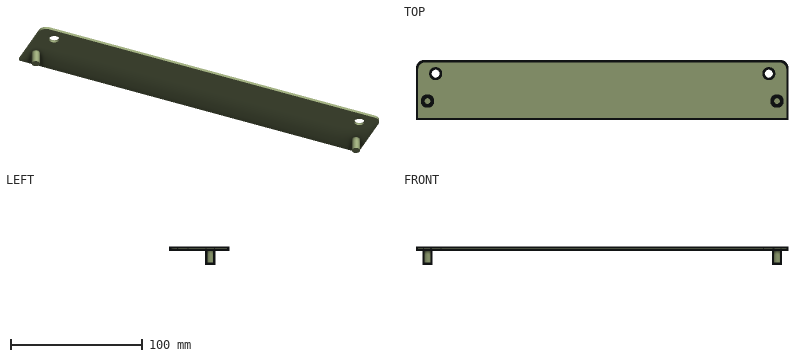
import cadquery as cq

LENGTH = 282.5
WIDTH = 44.5
THICKNESS = 2.12
CORNER_RADIUS = 6.0

HOLE_DIAMETER = 8.0
HOLE_SPACING = 254.0
HOLE_REAR_INSET = 9.5

TOTAL_HEIGHT = 12.7
SHANK_DIAMETER = 6.2
HEAD_DIAMETER = 8.5
HEAD_HEIGHT = 0.3
STUD_SPACING = 266.5
STUD_FRONT_INSET = 13.8

HOLE_Y = WIDTH / 2 - HOLE_REAR_INSET
STUD_Y = STUD_FRONT_INSET - WIDTH / 2
HOLE_CENTRES = [(side * HOLE_SPACING / 2, HOLE_Y) for side in (-1, 1)]
STUD_CENTRES = [(side * STUD_SPACING / 2, STUD_Y) for side in (-1, 1)]


def make_cylinder(centre, diameter, height):
    """Upright cylinder reaching down from Z = 0."""
    return cq.Workplane("XY").center(*centre).circle(diameter / 2).extrude(-height)


def make_stud(centre):
    """Stud with a thin head flush with the top of the plate and a narrower shank."""
    head = make_cylinder(centre, HEAD_DIAMETER, HEAD_HEIGHT)
    shank = make_cylinder(centre, SHANK_DIAMETER, TOTAL_HEIGHT)
    return head.union(shank)


def make_plate():
    """Flat plate with two rounded rear corners, two open holes and two stepped stud seats."""
    body = cq.Workplane("XY").rect(LENGTH, WIDTH).extrude(-THICKNESS)
    body = body.edges("|Z and >Y").fillet(CORNER_RADIUS)
    for centre in HOLE_CENTRES:
        body = body.cut(make_cylinder(centre, HOLE_DIAMETER, THICKNESS))
    for centre in STUD_CENTRES:
        body = body.cut(make_stud(centre))
    return body


plate = make_plate()
studs = [make_stud(centre) for centre in STUD_CENTRES]

result = cq.Compound.makeCompound([plate.val(), *[stud.val() for stud in studs]])